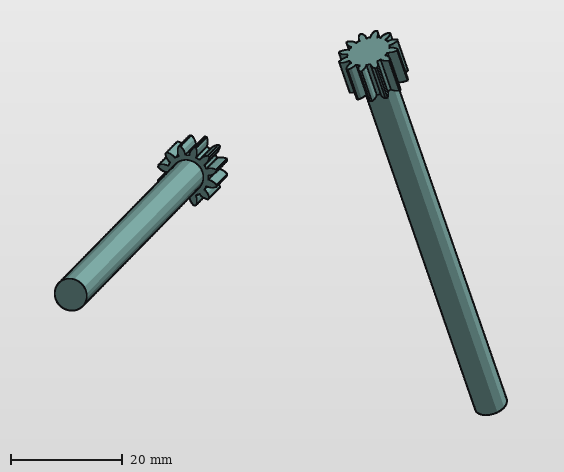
import cadquery as cq
import math

total_length = 83.1
shaft_radius = 3.0
gear_width = 7.1
gear_height = 10.9

tooth_count = 12
tooth_pitch = 360.0 / tooth_count
root_radius = 3.9
flank_radius = 4.65
root_half_width = 0.65
flank_half_width = 0.62
tip_half_angle = 2.0
root_overlap = 0.25

tip_corner_angle = math.radians(tooth_pitch / 2 - tip_half_angle)
tip_radius = gear_height / 2 / math.cos(tip_corner_angle)
tip_half_width = tip_radius * math.sin(math.radians(tip_half_angle))


def on_circle(half_width, radius):
    """Distance along the tooth centreline of a point on the given circle."""
    return math.sqrt(radius**2 - half_width**2)


def along_shaft(sketch_plane_y):
    """XZ workplane at a given Y; its normal points toward -Y."""
    return cq.Workplane("XZ", origin=(0, sketch_plane_y, 0))


def make_tooth():
    """One tooth pointing along +Z, with bulged flanks and a rounded tip land."""
    base = root_radius - root_overlap
    root = on_circle(root_half_width, root_radius)
    flank = on_circle(flank_half_width, flank_radius)
    tip = on_circle(tip_half_width, tip_radius)
    return (
        along_shaft(total_length)
        .moveTo(-root_half_width, base)
        .lineTo(-root_half_width, root)
        .threePointArc((-flank_half_width, flank), (-tip_half_width, tip))
        .threePointArc((0, tip_radius), (tip_half_width, tip))
        .threePointArc((flank_half_width, flank), (root_half_width, root))
        .lineTo(root_half_width, base)
        .close()
        .extrude(gear_width)
    )


def make_pinion():
    """Root cylinder with teeth, leaving a gap centred on each main axis."""
    pinion = along_shaft(total_length).circle(root_radius).extrude(gear_width)
    tooth = make_tooth()
    for index in range(tooth_count):
        angle = (index + 0.5) * tooth_pitch
        pinion = pinion.union(tooth.rotate((0, 0, 0), (0, 1, 0), angle))
    return pinion


shaft = along_shaft(total_length).circle(shaft_radius).extrude(total_length)
result = shaft.union(make_pinion())